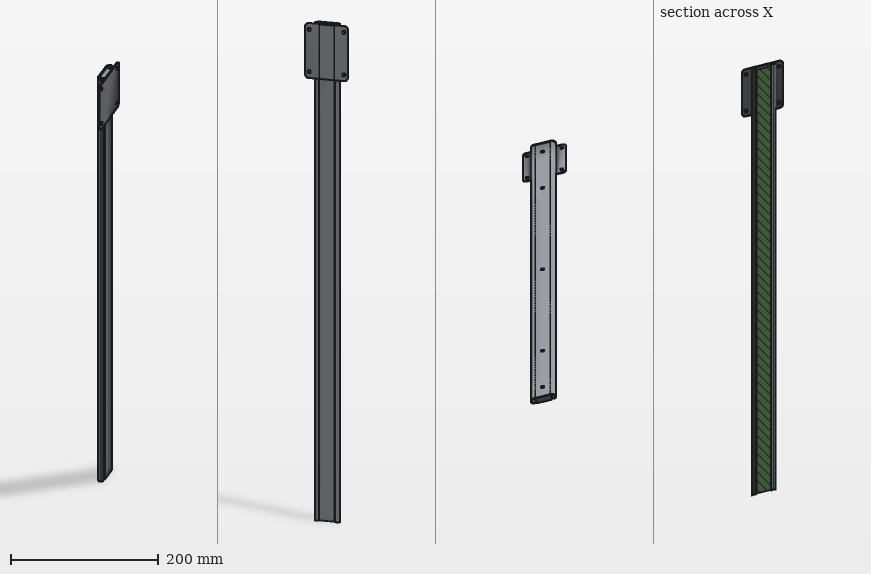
import cadquery as cq
import math

rail_length = 711.2
total_depth = 11.2

rail_depth = 8.5
rail_half_width = 17.6
rail_wall = 1.4
web_flat_half = 12.5
shoulder_radius = 3.7
shoulder_sweep = 45
bead_radius = 3.5
bead_axis = 135
bead_half_sweep = 87
lip_half_gap = 11.4

screw_hole_diameter = 3.0
countersink_diameter = 5.2
countersink_angle = 90
end_screw_inset = 25.4
inner_screw_inset = 127.0
screw_heights = (
    end_screw_inset,
    inner_screw_inset,
    rail_length / 2,
    rail_length - inner_screw_inset,
    rail_length - end_screw_inset,
)

bar_end_gap = 1.2
bar_half_width = 10.6
plate_thickness = 1.5
plate_width = 60.4
plate_height = 78.6
plate_corner_radius = 5.5
plate_hole_diameter = 4.5
plate_hole_spacing_y = 48.6
plate_hole_spacing_z = 60.6

plate_near_face = total_depth - plate_thickness
plate_middle = rail_length - plate_height / 2


def bend_point(centre_x, centre_y, radius, degrees):
    """Point on a bend, its angle turning from -X toward +Y."""
    angle = math.radians(degrees)
    return (centre_x - radius * math.cos(angle), centre_y + radius * math.sin(angle))


def mirrored(point):
    """The same point on the -Y side."""
    return (point[0], -point[1])


def trace_rail_outline():
    """Outer outline of the channel, symmetric about y = 0 and closed across the lips."""
    shoulder = (shoulder_radius, web_flat_half, shoulder_radius)
    bead = (rail_depth - bead_radius, rail_half_width - bead_radius, bead_radius)

    web_edge = (0, web_flat_half)
    shoulder_middle = bend_point(*shoulder, shoulder_sweep / 2)
    shoulder_end = bend_point(*shoulder, shoulder_sweep)
    bead_start = bend_point(*bead, bead_axis - bead_half_sweep)
    bead_middle = bend_point(*bead, bead_axis)
    bead_end = bend_point(*bead, bead_axis + bead_half_sweep)
    return (
        cq.Workplane("XY")
        .moveTo(*web_edge)
        .threePointArc(shoulder_middle, shoulder_end)
        .lineTo(*bead_start)
        .threePointArc(bead_middle, bead_end)
        .lineTo(*mirrored(bead_end))
        .threePointArc(mirrored(bead_middle), mirrored(bead_start))
        .lineTo(*mirrored(shoulder_end))
        .threePointArc(mirrored(shoulder_middle), mirrored(web_edge))
        .close()
    )


def make_rail():
    """Channel hollowed to its wall, opened between the lips and drilled along its web."""
    hollow = trace_rail_outline().offset2D(-rail_wall).extrude(rail_length)
    opening = cq.Workplane("XY", origin=(rail_depth / 2, 0, 0)).box(
        rail_depth, 2 * lip_half_gap, rail_length, centered=(False, True, False)
    )
    web_face = cq.Plane(origin=(0, 0, 0), xDir=(0, -1, 0), normal=(-1, 0, 0))
    return (
        trace_rail_outline()
        .extrude(rail_length)
        .cut(hollow)
        .cut(opening)
        .copyWorkplane(cq.Workplane(web_face))
        .pushPoints([(0, height) for height in screw_heights])
        .cskHole(screw_hole_diameter, countersink_diameter, countersink_angle, depth=rail_wall)
    )


def make_slider():
    """Bar lying on the rail web, with the drilled plate across its upper end."""
    bar_depth = plate_near_face - rail_wall
    bar_length = rail_length - 2 * bar_end_gap
    bar = cq.Workplane("XY", origin=(rail_wall, 0, bar_end_gap)).box(
        bar_depth, 2 * bar_half_width, bar_length, centered=(False, True, False)
    )
    plate = (
        cq.Workplane("YZ", origin=(plate_near_face, 0, plate_middle))
        .rect(plate_width, plate_height)
        .extrude(plate_thickness)
        .edges("|X")
        .fillet(plate_corner_radius)
        .faces(">X")
        .workplane()
        .rarray(plate_hole_spacing_y, plate_hole_spacing_z, 2, 2)
        .hole(plate_hole_diameter)
    )
    return bar.union(plate)


rail = make_rail()
slider = make_slider()
result = cq.Compound.makeCompound([rail.val(), slider.val()])